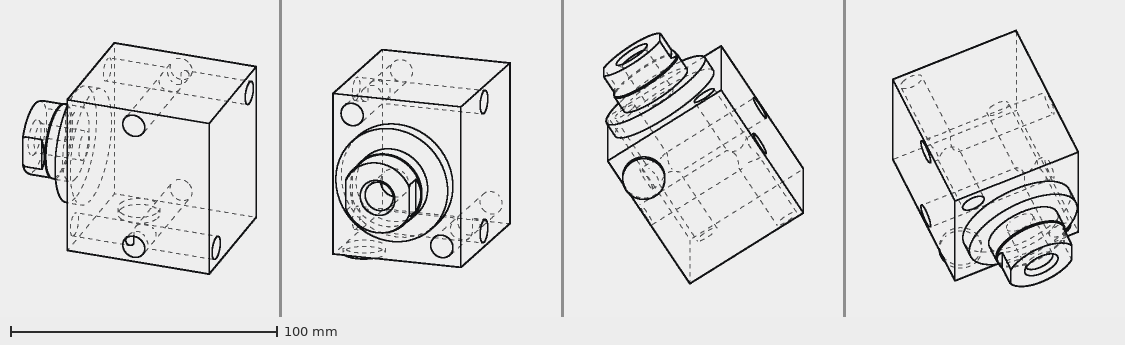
import cadquery as cq

total_length = 79.5
block_width = 50.8
total_height = 65.8

boss_height = 2.5
boss_diameter = 15.9
boss_from_block_face = 12.7

flange_length = 6.05
flange_diameter = 44.45
rod_length = 16.5
collar_diameter = 28.55
tip_diameter = 28.15
tip_length = 9.5
tip_chamfer_length = 0.95
tip_chamfer_depth = 0.3
collar_start = 9.9

width_across_flats = 25.2
flat_length = 7.7

mouth_diameter = 13.75
mouth_cone_diameter = 12.9
mouth_cone_end = 0.5
bore_diameter = 11.1
bore_start = 1.9
bore_depth = 19.9

hole_diameter = 8.8
axial_hole_y = 17.8
axial_hole_z = 24.2
cross_hole_from_block_face = 26.7
cross_hole_z = 25.45

block_face = rod_length + flange_length
block_length = total_length - block_face
block_height = total_height - boss_height


def revolve_about_x(profile):
    """Turn a closed (x, radius) profile about the piston axis."""
    return cq.Workplane("XY").polyline(profile).close().revolve(360, (0, 0, 0), (1, 0, 0))


def make_block():
    return (
        cq.Workplane("XY")
        .box(block_length, block_width, block_height)
        .translate((block_face + block_length / 2, 0, 0))
    )


def make_boss():
    boss_y = (block_width - boss_diameter) / 2
    return (
        cq.Workplane("XY", origin=(block_face + boss_from_block_face, boss_y, -block_height / 2))
        .circle(boss_diameter / 2)
        .extrude(-boss_height)
    )


def make_rod_and_flange():
    tip_radius = tip_diameter / 2
    collar_radius = collar_diameter / 2
    flange_radius = flange_diameter / 2
    return revolve_about_x([
        (0, 0),
        (0, tip_radius - tip_chamfer_depth),
        (tip_chamfer_length, tip_radius),
        (tip_length, tip_radius),
        (collar_start, collar_radius),
        (rod_length, collar_radius),
        (rod_length, flange_radius),
        (block_face, flange_radius),
        (block_face, 0),
    ])


def make_flat_cutter(side):
    """Material outside one flat, ending in a 45 degree ramp; side is +1 or -1 along Y."""
    flat_y = width_across_flats / 2
    outer_y = collar_diameter / 2
    ramp_end = flat_length + outer_y - flat_y
    outline = [
        (0, side * flat_y),
        (flat_length, side * flat_y),
        (ramp_end, side * outer_y),
        (0, side * outer_y),
    ]
    return cq.Workplane("XY").polyline(outline).close().extrude(collar_diameter / 2, both=True)


def make_bore():
    return revolve_about_x([
        (0, 0),
        (0, mouth_diameter / 2),
        (mouth_cone_end, mouth_cone_diameter / 2),
        (bore_start, bore_diameter / 2),
        (bore_depth, bore_diameter / 2),
        (bore_depth, 0),
    ])


def make_axial_holes():
    """Two diagonally opposite holes through the block along X."""
    corners = [(axial_hole_y, axial_hole_z), (-axial_hole_y, -axial_hole_z)]
    return (
        cq.Workplane("YZ", origin=(block_face, 0, 0))
        .pushPoints(corners)
        .circle(hole_diameter / 2)
        .extrude(block_length)
    )


def make_cross_holes():
    """Two holes through the block along Y."""
    hole_x = block_face + cross_hole_from_block_face
    return (
        cq.Workplane("XZ")
        .pushPoints([(hole_x, cross_hole_z), (hole_x, -cross_hole_z)])
        .circle(hole_diameter / 2)
        .extrude(block_width / 2, both=True)
    )


result = make_block().union(make_boss()).union(make_rod_and_flange())
for side in (1, -1):
    result = result.cut(make_flat_cutter(side))
result = result.cut(make_bore()).cut(make_axial_holes()).cut(make_cross_holes())